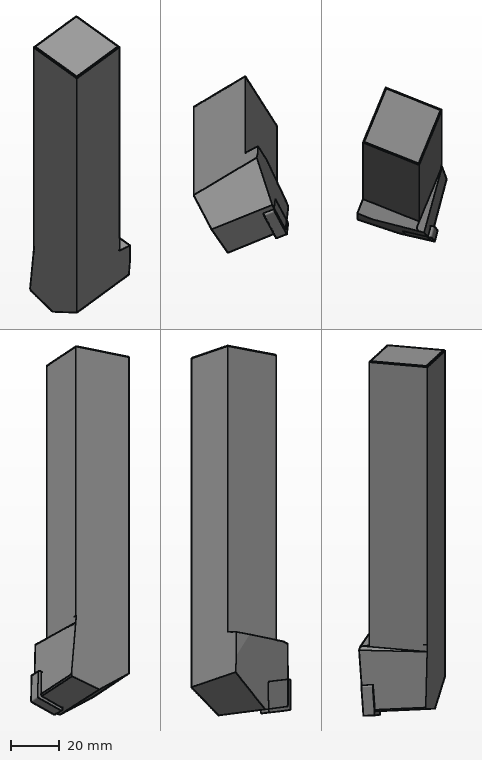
import cadquery as cq
import math

TOTAL_HEIGHT = 153.1
SHANK_SIDE = 25.0
SHANK_CHAMFER = 0.5
HEAD_DEPTH = 31.1
MARGIN = 7.7

FLANK_START_Z = 31.7
FLANK_TOP_Z = 33.7
SIDE_ANGLE = 5.0
END_ANGLE = 15.0
BACK_ANGLE = 35.0
BACK_START_Z = 13.0
END_FLANK_Z = 6.7
CORNER_CUT = 0.8
SIDE_DRAFT = 6.8
END_DRAFT = 7.5

SIDE_SHOULDER_Z = 30.8
BACK_SHOULDER_Z = 31.4
SHOULDER_ANGLE = 13.0

RAKE_EDGE_X = -7.2
RAKE_EDGE_Z = 30.6
RAKE_X_ANGLE = 7.4
RAKE_Z_ANGLE = 5.0

INSERT_EDGE = 12.9
INSERT_THICKNESS = 4.7
INSERT_NOSE_ANGLE = 90.0 + END_ANGLE - SIDE_ANGLE
INSERT_RADIUS = 0.8
NOSE_X = -32.1
NOSE_Z = 3.0
INSERT_SINK = 0.2


def tan(angle):
    return math.tan(math.radians(angle))


def rake_y(x, z):
    """Y of the rake plane at a given X and Z."""
    return HEAD_DEPTH + (x - RAKE_EDGE_X) * tan(RAKE_X_ANGLE) + (z - RAKE_EDGE_Z) * tan(RAKE_Z_ANGLE)


def rake_plane(x, z, x_direction=None):
    """Work plane on the rake face, with its normal out of the head."""
    normal = (-tan(RAKE_X_ANGLE), 1, -tan(RAKE_Z_ANGLE))
    return cq.Plane(origin=(x, rake_y(x, z), z), xDir=x_direction, normal=normal)


def head_section(y):
    """Corner points (x, z) of the drafted head at depth y."""
    side_slope = tan(SIDE_ANGLE)
    end_slope = tan(END_ANGLE)
    back_slope = tan(BACK_ANGLE)

    def side_x(z):
        return -SHANK_SIDE - y * tan(SIDE_DRAFT) - (FLANK_START_Z - z) * side_slope

    front_corner_x = -SHANK_SIDE - (FLANK_START_Z - END_FLANK_Z) * side_slope
    end_z0 = END_FLANK_Z + end_slope * front_corner_x - y * tan(END_DRAFT)

    corner_z = (end_z0 - end_slope * side_x(0)) / (1 + end_slope * side_slope)
    corner_x = side_x(corner_z)
    cut_x = corner_x + CORNER_CUT / 2
    tip_x = (end_z0 - BACK_START_Z) / (back_slope + end_slope)
    return [
        (side_x(FLANK_TOP_Z), FLANK_TOP_Z),
        (side_x(corner_z + CORNER_CUT), corner_z + CORNER_CUT),
        (cut_x, end_z0 - end_slope * cut_x),
        (tip_x, end_z0 - end_slope * tip_x),
        (0, BACK_START_Z),
        (0, FLANK_TOP_Z),
    ]


def make_head():
    """Drafted block, trimmed by the two shoulders and the rake face."""
    sections = []
    for y in (0, HEAD_DEPTH):
        points = [cq.Vector(x, y, z) for x, z in head_section(y)]
        sections.append(cq.Wire.makePolygon(points, close=True))
    head = cq.Workplane(obj=cq.Solid.makeLoft(sections, True))

    reach = SHANK_SIDE + 2 * MARGIN
    fall = MARGIN * tan(SHOULDER_ANGLE)
    side_cut = (
        cq.Workplane("XZ")
        .polyline([
            (-SHANK_SIDE, SIDE_SHOULDER_Z),
            (-SHANK_SIDE, FLANK_TOP_Z + MARGIN),
            (-SHANK_SIDE - MARGIN, FLANK_TOP_Z + MARGIN),
            (-SHANK_SIDE - MARGIN, SIDE_SHOULDER_Z - fall),
        ])
        .close()
        .extrude(-reach)
    )
    back_cut = (
        cq.Workplane("YZ", origin=(-reach, 0, 0))
        .polyline([
            (SHANK_SIDE, BACK_SHOULDER_Z),
            (SHANK_SIDE, FLANK_TOP_Z + MARGIN),
            (SHANK_SIDE + MARGIN, FLANK_TOP_Z + MARGIN),
            (SHANK_SIDE + MARGIN, BACK_SHOULDER_Z - fall),
        ])
        .close()
        .extrude(reach + MARGIN)
    )
    rake = rake_plane(RAKE_EDGE_X, RAKE_EDGE_Z)
    rake_cut = cq.Workplane(rake).rect(TOTAL_HEIGHT, TOTAL_HEIGHT).extrude(MARGIN)
    return head.cut(side_cut).cut(back_cut).cut(rake_cut)


def make_shank():
    """Square bar above the head, chamfered around its upper end."""
    return (
        cq.Workplane("XY", origin=(-SHANK_SIDE, 0, FLANK_TOP_Z))
        .rect(SHANK_SIDE, SHANK_SIDE, centered=False)
        .extrude(TOTAL_HEIGHT - FLANK_TOP_Z)
        .faces(">Z")
        .chamfer(SHANK_CHAMFER)
    )


def make_insert():
    """Rounded rhombic plate set just below the rake face."""
    edge_x = math.cos(math.radians(END_ANGLE))
    edge_z = -math.sin(math.radians(END_ANGLE))
    edge_y = edge_x * tan(RAKE_X_ANGLE) + edge_z * tan(RAKE_Z_ANGLE)
    plane = rake_plane(NOSE_X, NOSE_Z, (edge_x, edge_y, edge_z))

    side_x = INSERT_EDGE * math.cos(math.radians(INSERT_NOSE_ANGLE))
    side_y = -INSERT_EDGE * math.sin(math.radians(INSERT_NOSE_ANGLE))
    return (
        cq.Workplane(plane)
        .workplane(offset=-INSERT_SINK)
        .polyline([(0, 0), (INSERT_EDGE, 0), (INSERT_EDGE + side_x, side_y), (side_x, side_y)])
        .close()
        .extrude(-INSERT_THICKNESS)
        .edges(cq.selectors.ParallelDirSelector(plane.zDir))
        .fillet(INSERT_RADIUS)
    )


insert = make_insert()
holder = make_shank().union(make_head()).cut(insert)

result = cq.Compound.makeCompound([holder.val(), insert.val()])